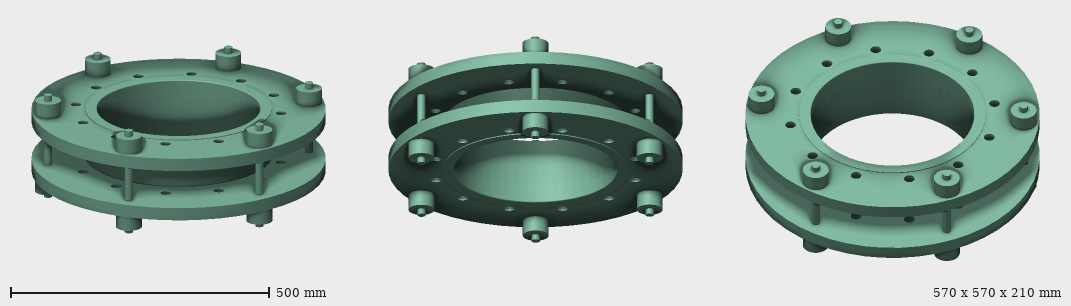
import cadquery as cq
import math


flange_diameter = 570.0
flange_thickness = 25.0
flange_gap = 76.5
bolt_hole_count = 12
bolt_circle_diameter = 400.0
bolt_hole_diameter = 20.5

rod_count = 6
rod_circle_diameter = 510.0
rod_diameter = 16.0
rod_length = 210.0
boss_diameter = 50.0
boss_height = 30.0

bore_diameter = 316.5
neck_diameter = 320.5
lip_diameter = 361.5
lip_thickness = 1.5
belly_diameter = 366.0
belly_height = 64.0
shoulder_fillet_radius = 3.0
root_fillet_radius = 2.0
mouth_fillet_radius = 2.0

flange_inner_z = flange_gap / 2
flange_outer_z = flange_inner_z + flange_thickness
lip_face_z = flange_outer_z + lip_thickness
belly_top_z = belly_height / 2
half_hole_pitch = math.pi / bolt_hole_count


def circle_points(diameter, count, start_angle):
    """Evenly spaced points on a circle about the joint axis; angles in radians."""
    points = []
    for index in range(count):
        angle = start_angle + 2 * math.pi * index / count
        points.append((diameter / 2 * math.cos(angle), diameter / 2 * math.sin(angle)))
    return points


rod_points = circle_points(rod_circle_diameter, rod_count, 0)
bolt_points = circle_points(bolt_circle_diameter, bolt_hole_count, half_hole_pitch)


def cylinders(points, diameter, bottom_z, height):
    """Equal upright cylinders standing at the given points."""
    base = cq.Workplane("XY").workplane(offset=bottom_z)
    return base.pushPoints(points).circle(diameter / 2).extrude(height)


def make_bossed_flange():
    """Upper flange ring with its bolt holes and a solid boss at every tie rod."""
    ring = (
        cq.Workplane("XY")
        .workplane(offset=flange_inner_z)
        .circle(flange_diameter / 2)
        .circle(neck_diameter / 2)
        .extrude(flange_thickness)
    )
    bolt_holes = cylinders(bolt_points, bolt_hole_diameter, flange_inner_z, flange_thickness)
    bosses = cylinders(rod_points, boss_diameter, flange_outer_z, boss_height)
    return ring.cut(bolt_holes).union(bosses)


def make_rods():
    """Tie rods running the full height of the joint."""
    return cylinders(rod_points, rod_diameter, -rod_length / 2, rod_length)


def make_upper_flange():
    """Upper flange with the tie rods fixed in it."""
    return make_bossed_flange().union(make_rods())


def make_lower_flange():
    """Lower flange, bored through its bosses for the tie rods."""
    return make_bossed_flange().mirror("XY").cut(make_rods())


def make_sleeve():
    """Sleeve with a thick belly between the flanges and a thin lip over each outer flange face."""
    neck = cq.Workplane("XY").cylinder(2 * lip_face_z, neck_diameter / 2)
    belly = cq.Workplane("XY").cylinder(belly_height, belly_diameter / 2)
    spool = neck.union(belly)
    smallest_circles = cq.selectors.RadiusNthSelector(0)
    largest_circles = cq.selectors.RadiusNthSelector(-1)
    inner_circles = spool.edges("%CIRCLE and (not >Z) and (not <Z)")
    spool = inner_circles.edges(smallest_circles).fillet(root_fillet_radius)
    spool = spool.edges(largest_circles).fillet(shoulder_fillet_radius)
    for lip_bottom_z in (flange_outer_z, -lip_face_z):
        spool = spool.union(cylinders([(0, 0)], lip_diameter, lip_bottom_z, lip_thickness))
    bore = cq.Workplane("XY").cylinder(2 * lip_face_z, bore_diameter / 2)
    sleeve_body = spool.cut(bore)
    return sleeve_body.faces(">Z or <Z").edges(smallest_circles).fillet(mouth_fillet_radius)


upper_flange = make_upper_flange()
lower_flange = make_lower_flange()
sleeve = make_sleeve()

result = cq.Compound.makeCompound([upper_flange.val(), lower_flange.val(), sleeve.val()])